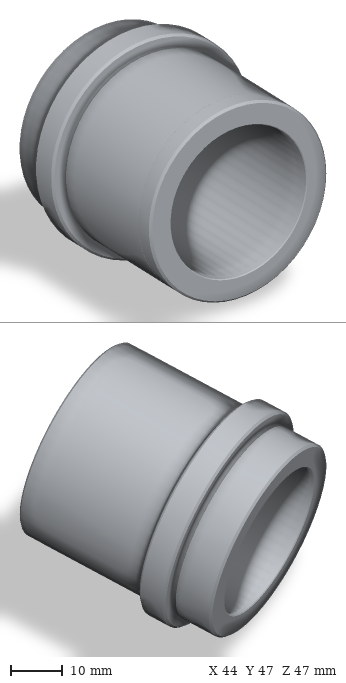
import cadquery as cq

total_length = 44.0
collar_start = 9.02
collar_end = 15.0
groove_width = 1.0
fit_end = 40.0

collar_diameter = 47.0
body_diameter = 41.95
fit_diameter = 42.0
bore_diameter = 32.0

groove_depth = 0.4
edge_chamfer = 0.45
bore_chamfer = 0.2

collar_radius = collar_diameter / 2
body_radius = body_diameter / 2
fit_radius = fit_diameter / 2
bore_radius = bore_diameter / 2
groove_floor_radius = body_radius - groove_depth


def add_relief_groove(profile, start):
    """Continue the profile with a concave arc ending at the body radius."""
    middle = start + groove_width / 2
    end = start + groove_width
    return profile.threePointArc((middle, groove_floor_radius), (end, body_radius))


profile = (
    cq.Workplane("XY")
    .moveTo(0, bore_radius + bore_chamfer)
    .lineTo(0, body_radius - edge_chamfer)
    .lineTo(edge_chamfer, body_radius)
    .lineTo(collar_start - groove_width, body_radius)
)
profile = add_relief_groove(profile, collar_start - groove_width)
profile = (
    profile.lineTo(collar_start, collar_radius - edge_chamfer)
    .lineTo(collar_start + edge_chamfer, collar_radius)
    .lineTo(collar_end - edge_chamfer, collar_radius)
    .lineTo(collar_end, collar_radius - edge_chamfer)
    .lineTo(collar_end, body_radius)
)
profile = add_relief_groove(profile, collar_end)

profile = (
    profile.lineTo(collar_end + groove_width, fit_radius)
    .lineTo(fit_end, fit_radius)
    .lineTo(fit_end, body_radius)
    .lineTo(total_length - edge_chamfer, body_radius)
    .lineTo(total_length, body_radius - edge_chamfer)
    .lineTo(total_length, bore_radius + bore_chamfer)
    .lineTo(total_length - bore_chamfer, bore_radius)
    .lineTo(bore_chamfer, bore_radius)
    .close()
)

result = profile.revolve(360, (0, 0, 0), (1, 0, 0))